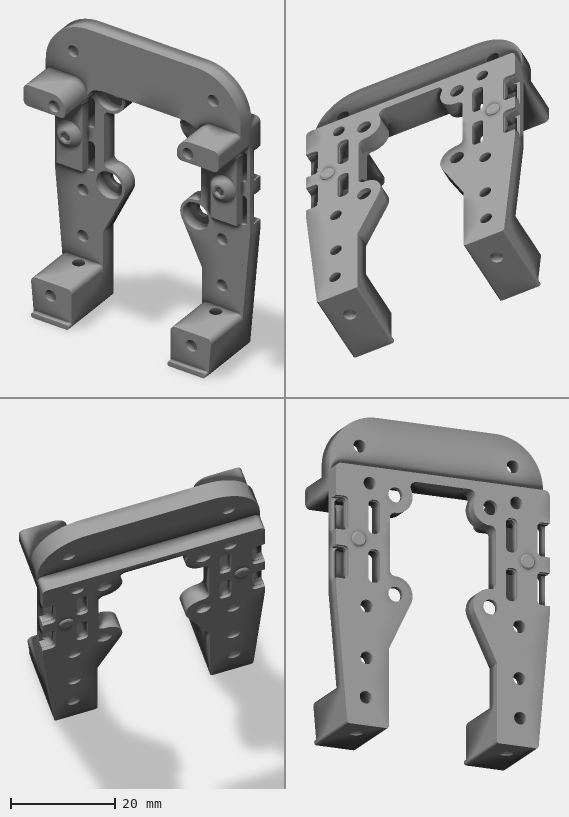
import cadquery as cq
import math

SIDES = (1, -1)
HEXAGON = 6

width = 45.0
half_width = width / 2
wall_thickness = 3.6
wall_top = 52.2
corner_radius = 1.1
opening_top = 50.4
inner_wall_x = 11.2
inner_leg_x = 11.4
leg_bend_z = 16.1
sole_outer_x = 20.1
taper_start_z = 27.0

boss_x = 10.0
boss_pitch = 20.0
lower_boss_z = 27.2
upper_boss_z = lower_boss_z + boss_pitch
boss_radius = 3.6
blend_radius = inner_wall_x - boss_x
boss_hole_diameter = 3.0
counterbore_diameter = 6.0
counterbore_depth = 2.55

plate_back = 3.15
plate_front = 6.85
plate_top = 63.3
plate_radius = 10.0

reach = 14.5
arm_bottom = 46.85
arm_top = 51.6
arm_inner_x = 12.9
arm_nose_radius = 3.0
foot_top = 8.55
plate_side_bottom = arm_bottom + corner_radius
sole_round = 0.5
lip_reach = 15.6
lip_height = 1.1

small_hole_diameter = 2.55
small_holes = [(16.15, 57.15), (15.45, 48.85), (16.1, 24.05), (16.1, 13.6), (16.25, 5.65)]
foot_hole_x = 15.8
foot_hole_depth = 5.45

clamp_x = 17.8
clamp_z = 37.3
window_outer_x = 21.85
window_inner_x = 13.3
window_spans = [(29.0, 35.65), (38.8, 45.65)]
window_round = 0.9
post_width = 4.25
post_thickness = 2.2
ridge_back = 0.7
ridge_front = 1.3
ridge_height = 0.095
post_recess_margin = 0.2
recess_width = 6.0

bar_width = 6.0
bar_length = 15.2
bar_thickness = 2.0
bar_front = wall_thickness + bar_thickness

shank_diameter = 3.0
tip_length = 0.45
tip_chamfer = 0.25
head_diameter = 5.7
head_rim = 0.2
head_height = 1.65
head_face_diameter = 3.0
socket_flats = 2.0
socket_depth = 0.8


def slab(outline, back, front):
    """Extrude a closed XZ outline between two depths."""
    return outline.extrude(front - back).translate((0, -back, 0))


def block(x0, x1, z0, z1, back, front):
    outline = cq.Workplane("XZ").center((x0 + x1) / 2, (z0 + z1) / 2).rect(abs(x1 - x0), abs(z1 - z0))
    return slab(outline, back, front)


def rod(x, z, diameter, back, front):
    return slab(cq.Workplane("XZ").center(x, z).circle(diameter / 2), back, front)


def on_circle(center, radius, degrees):
    angle = math.radians(degrees)
    return center[0] + radius * math.cos(angle), center[1] + radius * math.sin(angle)


def leg_outer_x(z):
    """Outer edge of the tapered leg at height z."""
    return sole_outer_x + (half_width - sole_outer_x) * z / taper_start_z


def half_wall():
    """Half of the wall, with the bosses blended into its inner edge."""
    upper = (boss_x, upper_boss_z)
    lower = (boss_x, lower_boss_z)

    top_blend_z = opening_top - blend_radius
    top_blend_angle = 180 - math.degrees(math.asin((top_blend_z - upper_boss_z) / (boss_radius + blend_radius)))
    top_blend = on_circle(upper, boss_radius + blend_radius, top_blend_angle)
    top_blend_middle = on_circle(top_blend, blend_radius, (top_blend_angle - 180 + 90) / 2)

    upper_blend = (boss_x, upper_boss_z - boss_radius - blend_radius)
    lower_blend = (boss_x, lower_boss_z + boss_radius + blend_radius)

    bend_dx = inner_leg_x - boss_x
    bend_dz = leg_bend_z - lower_boss_z
    bend_angle = math.degrees(math.atan2(bend_dz, bend_dx))
    slant_angle = bend_angle - math.degrees(math.acos(boss_radius / math.hypot(bend_dx, bend_dz)))

    outline = (
        cq.Workplane("XZ")
        .moveTo(0, wall_top)
        .lineTo(0, opening_top)
        .lineTo(top_blend[0], opening_top)
        .threePointArc(top_blend_middle, on_circle(upper, boss_radius, top_blend_angle))
        .threePointArc(on_circle(upper, boss_radius, 200), on_circle(upper, boss_radius, 270))
        .threePointArc(on_circle(upper_blend, blend_radius, 45), (inner_wall_x, upper_blend[1]))
        .lineTo(inner_wall_x, lower_blend[1])
        .threePointArc(on_circle(lower_blend, blend_radius, -45), on_circle(lower, boss_radius, 90))
        .threePointArc(on_circle(lower, boss_radius, 180), on_circle(lower, boss_radius, slant_angle))
        .lineTo(inner_leg_x, leg_bend_z)
        .lineTo(inner_leg_x, 0)
        .lineTo(sole_outer_x, 0)
        .lineTo(half_width, taper_start_z)
        .lineTo(half_width, wall_top)
        .close()
    )
    wall = slab(outline, 0, wall_thickness)
    return wall.edges("|Y").edges(">X and >Z").fillet(corner_radius)


def half_plate():
    """Half of the head plate; beside the opening it reaches down to the arm."""
    outline = (
        cq.Workplane("XZ")
        .moveTo(0, opening_top)
        .lineTo(0, plate_top)
        .lineTo(half_width - plate_radius, plate_top)
        .radiusArc((half_width, plate_top - plate_radius), plate_radius)
        .lineTo(half_width, plate_side_bottom)
        .lineTo(boss_x, plate_side_bottom)
        .lineTo(boss_x, opening_top)
        .close()
    )
    return slab(outline, plate_back, plate_front)


def arm():
    body = block(arm_inner_x, half_width, arm_bottom, arm_top, wall_thickness, reach)
    body = body.edges("|Y and <X and >Z").fillet(arm_nose_radius)
    body = body.edges("|Y and <X and <Z").fillet(corner_radius)
    return body.edges("|Y and >X").fillet(corner_radius)


def foot():
    outline = cq.Workplane("XZ").polyline([
        (inner_leg_x, 0),
        (sole_outer_x, 0),
        (leg_outer_x(foot_top), foot_top),
        (inner_leg_x, foot_top),
    ]).close()
    return slab(outline, wall_thickness, reach).faces(">Z").edges("|Y").fillet(corner_radius)


def lip():
    body = block(inner_leg_x, sole_outer_x, 0, lip_height, reach, lip_reach)
    return body.edges("|Y").fillet(sole_round)


def boss_hole(z):
    """Through hole whose counterbore also clears the plate in front of it."""
    counterbore = rod(boss_x, z, counterbore_diameter, wall_thickness - counterbore_depth, plate_front)
    return rod(boss_x, z, boss_hole_diameter, 0, wall_thickness).union(counterbore)


def slots(bottom, top, back, front, inset):
    """Slots on both sides of the post; `inset` narrows them at the post and at both ends."""
    z0 = bottom + inset
    z1 = top - inset
    half_gap = post_width / 2 + inset
    inner_slot = block(window_inner_x, clamp_x - half_gap, z0, z1, back, front)
    outer_slot = block(clamp_x + half_gap, window_outer_x, z0, z1, back, front)
    return inner_slot.union(outer_slot).edges("|Y").fillet(window_round)


def side_cut(bottom, top, back, front, inset):
    """Cut from the outer slot through the outer edge of the wall."""
    return block(window_outer_x - window_round, half_width, bottom + inset, top - inset, back, front)


def window(bottom, top):
    """Two slots that open to the outer side behind the post's front, with a low ridge in them."""
    layers = [(0, ridge_back, 0), (ridge_back, ridge_front, ridge_height), (ridge_front, post_thickness, 0)]
    opening = slots(bottom, top, post_thickness, wall_thickness, 0)
    for back, front, inset in layers:
        opening = opening.union(slots(bottom, top, back, front, inset))
        opening = opening.union(side_cut(bottom, top, back, front, inset))
    recess = block(
        clamp_x - recess_width / 2, clamp_x + recess_width / 2,
        bottom + post_recess_margin, top - post_recess_margin,
        post_thickness, wall_thickness,
    )
    return opening.union(recess)


def half_frame():
    half = half_wall().union(half_plate())
    for z in (lower_boss_z, upper_boss_z):
        half = half.cut(boss_hole(z))
    half = half.union(arm()).union(foot())
    half = half.faces("<Z").edges("|Y").fillet(sole_round)
    half = half.union(lip())

    for x, z in small_holes:
        half = half.cut(rod(x, z, small_hole_diameter, 0, reach))
    foot_hole = cq.Workplane("XY").center(foot_hole_x, -foot_hole_depth).circle(small_hole_diameter / 2)
    half = half.cut(foot_hole.extrude(foot_top))

    for bottom, top in window_spans:
        half = half.cut(window(bottom, top))
    return half.cut(rod(clamp_x, clamp_z, shank_diameter, 0, wall_thickness))


def make_frame():
    half = half_frame()
    return half.union(half.mirror("YZ")).clean()


def make_bar(x):
    half_bar_width = bar_width / 2
    half_bar_length = bar_length / 2
    bar = block(
        x - half_bar_width, x + half_bar_width,
        clamp_z - half_bar_length, clamp_z + half_bar_length,
        wall_thickness, bar_front,
    )
    return bar.cut(rod(x, clamp_z, shank_diameter, wall_thickness, bar_front))


def make_screw(x):
    """Button-head screw through the bar and the wall, its tip just behind the wall."""
    shank = rod(0, 0, shank_diameter, -tip_length, bar_front).faces(">Y").chamfer(tip_chamfer)

    rim_radius = head_diameter / 2
    face_radius = head_face_diameter / 2
    dome_height = head_height - head_rim
    dome_center = (rim_radius**2 - face_radius**2 - dome_height**2) / (2 * dome_height)
    dome_radius = math.hypot(rim_radius, dome_center)
    section = (
        cq.Workplane("XY")
        .moveTo(0, -bar_front)
        .lineTo(rim_radius, -bar_front)
        .lineTo(rim_radius, -bar_front - head_rim)
        .radiusArc((face_radius, -bar_front - head_height), dome_radius)
        .lineTo(0, -bar_front - head_height)
        .close()
    )
    head = section.revolve(360, (0, 0, 0), (0, 1, 0))

    socket_corners = socket_flats / math.cos(math.pi / HEXAGON)
    head_front = bar_front + head_height
    socket = cq.Workplane("XZ").transformed(rotate=(0, 0, 90)).polygon(HEXAGON, socket_corners)
    screw = shank.union(head).cut(slab(socket, head_front - socket_depth, head_front))
    return screw.translate((x, 0, clamp_z))


frame = make_frame()
bars = [make_bar(side * clamp_x) for side in SIDES]
screws = [make_screw(side * clamp_x) for side in SIDES]

result = cq.Compound.makeCompound([part.val() for part in [frame, *bars, *screws]])